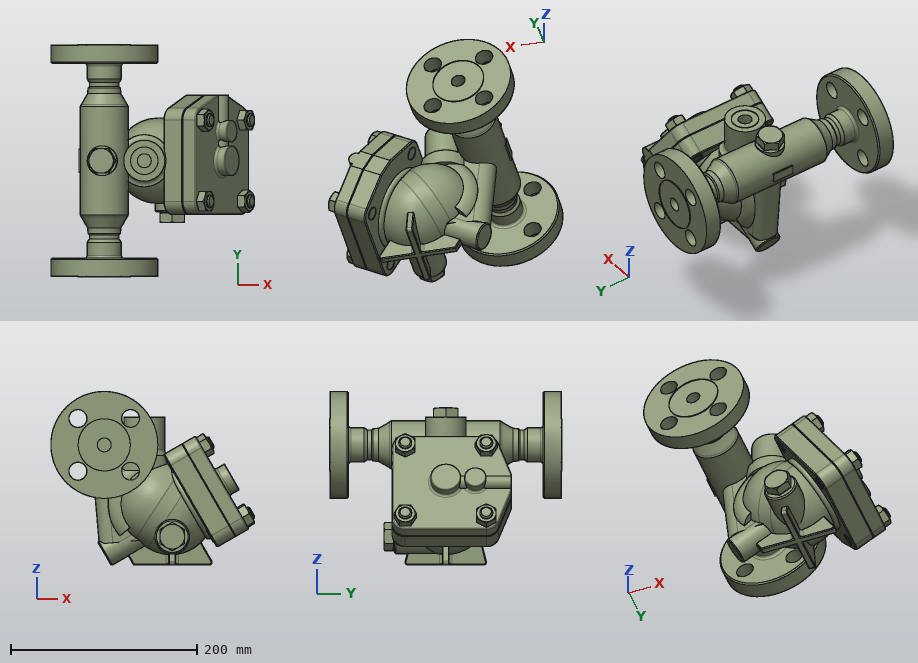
import cadquery as cq
import math

overlap = 2.5

overall_length = 250.0
flange_diameter = 115.0
flange_thickness = 19.5
flange_chamfer = 1.5
raised_face_diameter = 56.0
raised_face_height = 1.0
bolt_circle_diameter = 80.0
bolt_hole_diameter = 19.0
bolt_hole_count = 4
bore_diameter = 15.0
pipe_bore_depth = 75.0
hub_diameter = 37.0
hub_end = 87.5
hub_fillet = 3.0
neck_diameter = 32.0
neck_end = 84.0
neck_start = 79.5
shoulder_diameter = 35.0
shoulder_end = 78.0
taper_small_diameter = 36.0
taper_small_end = 72.0
taper_large_diameter = 49.5
barrel_diameter = 52.0
barrel_half_length = 58.5
barrel_edge = 1.8
label_width = 25.0
label_height = 10.5
label_rise = 1.2

leg_tilt = 5.0
leg_radius = 14.8
leg_length = 105.5
web_length = 40.0
web_fillet = 16.2
web_fillet_start = 60.0
web_fillet_sweep = 100.0
plug_collar_diameter = 32.0
plug_collar_top = 27.2
plug_top = 39.0

cover_tilt = 30.0
cover_axis_offset = 98.2
dome_radius = 46.0
dome_center = 26.0
lobe_length = 16.2
lobe_tilt = 33.0
dome_fillet = 3.8
body_flange_back = 49.8
joint_position = 73.0
cover_face = 89.5
gasket_thickness = 1.0
gasket_inset = 0.8
plate_edge = 1.2
stud_spacing = 87.0
plate_corner_radius = 14.0
plate_side_reach = 70.5
plate_side_flat = 21.0

stud_diameter = 14.0
stud_end = 101.5
stud_back_rise = 0.8
stud_chamfer = 1.5
nut_width = 21.0
nut_height = 9.0

large_boss_diameter = 32.0
small_boss_diameter = 23.0
small_boss_y = 31.8
cover_boss_end = 101.5
cover_boss_fillet = 2.5
cover_boss_edge = 0.8
cover_rib_radius = 7.5
cover_rib_axis = 88.8

stub_diameter = 30.0
stub_drop = 3.0
stub_end = -58.2
stub_chamfer = 1.2

outlet_x = 43.0
outlet_diameter = 44.0
outlet_top = 29.8
outlet_base_top = -11.2
outlet_flare = 6.0
outlet_base_bottom = -27.5
outlet_recess_diameter = 29.5
outlet_recess_depth = 0.8
outlet_bore_depth = 30.0

drain_x = 73.0
drain_z = -98.5
drain_diameter = 37.0
drain_end = 55.0
drain_chamfer = 1.5
drain_plug_end = 66.5

plug_width = 26.5
plug_neck_diameter = 24.0
plug_neck_height = 1.2

foot_bottom = -129.0
foot_rib_thickness = 7.5
foot_left_x = 31.5
foot_right_x = 118.0
foot_rib_height = 26.0
foot_cross_half_width = 44.5
foot_cross_height = 39.0
foot_cross_taper = 9.5
foot_corner_radius = 3.0
foot_fillet = 3.0
foot_edge = 1.0

lean = math.radians(leg_tilt)
slope = math.radians(cover_tilt)
up_the_cover = cq.Vector(-math.sin(slope), 0, math.cos(slope))
cover_axis = cq.Vector(math.cos(slope), 0, math.sin(slope))
body_origin = up_the_cover * -cover_axis_offset
body_plane = cq.Plane(origin=body_origin.toTuple(), xDir=(0, 1, 0), normal=cover_axis.toTuple())
lobe_lean = math.radians(lobe_tilt)
lobe_plane = cq.Plane(
    origin=(body_origin + cover_axis * dome_center).toTuple(),
    xDir=(0, 1, 0),
    normal=(-math.cos(lobe_lean), 0, math.sin(lobe_lean)),
)
leg_x = (math.cos(lean), 0, math.sin(lean))
leg_down = (math.sin(lean), 0, -math.cos(lean))
leg_up = (-math.sin(lean), 0, math.cos(lean))
leg_plane = cq.Plane(origin=(0, 0, 0), xDir=leg_x, normal=leg_down)
plug_plane = cq.Plane(origin=(0, 0, 0), xDir=leg_x, normal=leg_up)
drain_plane = cq.Plane(origin=(drain_x, 0, drain_z), xDir=(0, 0, 1), normal=(0, -1, 0))


def rod(diameter, start, end):
    """Cylinder along local z from start to end."""
    return cq.Workplane("XY").workplane(offset=start).circle(diameter / 2).extrude(end - start)


def hexagon(width, start, end):
    """Hexagon along local z, a corner on local x, its outer corners bevelled."""
    corner_diameter = width / math.cos(math.pi / 6)
    prism = cq.Workplane("XY").workplane(offset=start).polygon(6, corner_diameter).extrude(end - start)
    bevel = (corner_diameter - width) / 2
    return prism.intersect(rod(corner_diameter, start, end).faces(">Z").chamfer(bevel / 2, bevel))


def flared_boss(diameter, bottom, base_top, top, flare):
    """Boss along local z with a concave rounding down to a wider base."""
    radius = diameter / 2
    return (
        cq.Workplane("XZ")
        .moveTo(0, bottom)
        .lineTo(radius + flare, bottom)
        .lineTo(radius + flare, base_top)
        .radiusArc((radius, base_top + flare), flare)
        .lineTo(radius, top)
        .lineTo(0, top)
        .close()
        .revolve(360, (0, 0, 0), (0, 1, 0))
    )


def placed(shape, plane):
    """Move a shape from local coordinates onto a plane."""
    return cq.Workplane(obj=shape.val().moved(cq.Location(plane)))


def hex_plug(boss_end, plug_end):
    neck_top = boss_end + plug_neck_height
    neck = rod(plug_neck_diameter, boss_end - overlap, neck_top)
    return neck.union(hexagon(plug_width, neck_top, plug_end))


def main_pipe():
    face = overall_length / 2 - raised_face_height
    back = face - flange_thickness
    half = (
        cq.Workplane("XY")
        .moveTo(0, 0)
        .lineTo(barrel_diameter / 2, 0)
        .lineTo(barrel_diameter / 2, barrel_half_length)
        .lineTo(taper_large_diameter / 2, barrel_half_length + barrel_edge)
        .lineTo(taper_small_diameter / 2, taper_small_end)
        .lineTo(shoulder_diameter / 2, shoulder_end)
        .lineTo(neck_diameter / 2, neck_start)
        .lineTo(neck_diameter / 2, neck_end)
        .lineTo(hub_diameter / 2, hub_end)
        .lineTo(hub_diameter / 2, back - hub_fillet)
        .radiusArc((hub_diameter / 2 + hub_fillet, back), hub_fillet)
        .lineTo(flange_diameter / 2 - flange_chamfer, back)
        .lineTo(flange_diameter / 2, back + flange_chamfer)
        .lineTo(flange_diameter / 2, face)
        .lineTo(raised_face_diameter / 2, face)
        .lineTo(raised_face_diameter / 2, overall_length / 2)
        .lineTo(0, overall_length / 2)
        .close()
        .revolve(360, (0, 0, 0), (0, 1, 0))
    )
    pipe = half.union(half.mirror("XZ"))
    label_reach = barrel_diameter / 2 + label_rise
    label = cq.Workplane("XY").box(label_reach, label_width, label_height, centered=(False, True, True))
    return pipe.union(label.translate((-label_reach, 0, 0)))


def flange_holes():
    """Bolt holes through both flanges and a blind bore from each pipe end."""
    flange_zone = overall_length / 2 - hub_end
    bolt_holes = (
        cq.Workplane("XZ", origin=(0, -hub_end, 0))
        .polarArray(bolt_circle_diameter / 2, 360 / bolt_hole_count / 2, 360, bolt_hole_count)
        .circle(bolt_hole_diameter / 2)
        .extrude(flange_zone)
    )
    bore_start = overall_length / 2 - pipe_bore_depth
    bore = cq.Workplane("XZ", origin=(0, -bore_start, 0)).circle(bore_diameter / 2).extrude(pipe_bore_depth)
    near_end = bolt_holes.union(bore)
    return near_end.union(near_end.mirror("XZ"))


def leg_and_web():
    """Round-fronted leg whose flat sides run back into the dome."""
    return (
        cq.Workplane(leg_plane)
        .moveTo(0, leg_radius)
        .threePointArc((-leg_radius, 0), (0, -leg_radius))
        .lineTo(web_length, -leg_radius)
        .lineTo(web_length, leg_radius)
        .close()
        .extrude(leg_length)
    )


def plate_outline(start, thickness, inset=0.0):
    """Cover outline: rounded square drawn out to a blunt nose on the +Y side."""
    half = stud_spacing / 2
    radius = plate_corner_radius - inset
    nose_y = plate_side_reach - inset
    nose_half = plate_side_flat / 2
    sketch = cq.Sketch()
    for y in (-half, half):
        for v in (-half, half):
            sketch = sketch.arc((y, v), radius, 0, 360)
    sketch = sketch.segment((nose_y, -nose_half), (nose_y, nose_half)).hull()
    return cq.Workplane("XY").workplane(offset=start).placeSketch(sketch).extrude(thickness)


def dome():
    """Round-ended capsule of the body, leaning from the cover toward the main pipe."""
    capsule = (
        cq.Workplane("XZ")
        .moveTo(0, -dome_radius)
        .threePointArc((dome_radius * math.sqrt(0.5), -dome_radius * math.sqrt(0.5)), (dome_radius, 0))
        .lineTo(dome_radius, lobe_length)
        .threePointArc(
            (dome_radius * math.sqrt(0.5), lobe_length + dome_radius * math.sqrt(0.5)),
            (0, lobe_length + dome_radius),
        )
        .close()
        .revolve(360, (0, 0, 0), (0, 1, 0))
    )
    return placed(capsule, lobe_plane)


def dome_fillet_ring(height, radius, side, sweep):
    """Concave ring about local z between the dome and a flat at this height.

    The rounding lies above the flat for side = 1 and below it for side = -1.
    """
    arc_height = height + side * radius
    reach = math.sqrt((dome_radius + radius) ** 2 - arc_height ** 2)
    on_dome = dome_radius / (dome_radius + radius)
    dome_end = (reach * on_dome, arc_height * on_dome)
    root = (dome_end[0] - overlap, height - side * overlap)
    return (
        cq.Workplane("XZ")
        .moveTo(reach, height)
        .radiusArc(dome_end, -side * radius)
        .lineTo(*root)
        .close()
        .revolve(sweep, (0, 0, 0), (0, 1, 0))
    )


def body():
    joint_back = joint_position - gasket_thickness / 2
    flange = plate_outline(body_flange_back, joint_back - body_flange_back)
    flange = flange.faces("<Z").edges().chamfer(plate_edge)
    ring = dome_fillet_ring(body_flange_back - dome_center, dome_fillet, -1, 360)
    flange = flange.union(ring.translate((0, 0, dome_center)))
    beyond = rod(3 * dome_radius, joint_back - overlap, 2 * joint_back)
    return dome().cut(placed(beyond, body_plane)).union(placed(flange, body_plane))


def web_fillets():
    """Wide rounding between the flat sides of the web and the end of the dome."""
    ring = dome_fillet_ring(leg_radius, web_fillet, 1, web_fillet_sweep)
    lobe_center = lobe_plane.toWorldCoords((0, 0, lobe_length))
    upper_end = math.radians(web_fillet_start)
    start = (-math.cos(upper_end), 0, math.sin(upper_end))
    near_side = placed(ring, cq.Plane(origin=lobe_center.toTuple(), xDir=start, normal=(0, -1, 0)))
    return near_side.union(near_side.mirror("XZ"))


def cover():
    joint_back = joint_position - gasket_thickness / 2
    joint_front = joint_position + gasket_thickness / 2
    gasket = plate_outline(joint_back, gasket_thickness, gasket_inset)
    plate = plate_outline(joint_front, cover_face - joint_front).faces(">Z").edges().fillet(plate_edge)
    rib = (
        cq.Workplane("YZ")
        .center(0, cover_rib_axis)
        .circle(cover_rib_radius)
        .extrude(plate_side_reach)
    )
    shape = gasket.union(plate).union(rib)
    for y, diameter in ((0, large_boss_diameter), (small_boss_y, small_boss_diameter)):
        boss = flared_boss(diameter, joint_front, cover_face, cover_boss_end, cover_boss_fillet)
        boss = boss.faces(">Z").fillet(cover_boss_edge)
        shape = shape.union(boss.translate((y, 0, 0)))
    return shape


def studs_and_nuts():
    """A stud and nut in each corner, neighbouring nuts a quarter turn apart."""
    stud = rod(stud_diameter, body_flange_back - stud_back_rise, stud_end)
    stud = stud.faces(">Z").chamfer(stud_chamfer)
    fastener = stud.union(hexagon(nut_width, cover_face, cover_face + nut_height))
    half = stud_spacing / 2
    group = cq.Workplane("XY")
    for y in (-half, half):
        for v in (-half, half):
            turn = 0 if y * v > 0 else 90
            group = group.union(fastener.rotate((0, 0, 0), (0, 0, 1), turn).translate((y, v, 0)))
    return group


def outlet():
    boss = flared_boss(outlet_diameter, outlet_base_bottom, outlet_base_top, outlet_top, outlet_flare)
    return boss.translate((outlet_x, 0, 0))


def outlet_bore():
    recess = rod(outlet_recess_diameter, outlet_top - outlet_recess_depth, outlet_top + overlap)
    bore = rod(bore_diameter, outlet_top - outlet_bore_depth, outlet_top + overlap)
    return recess.union(bore).translate((outlet_x, 0, 0))


def foot():
    run = foot_rib_height * math.tan(slope)
    top = foot_bottom + foot_rib_height
    rib = (
        cq.Workplane("XZ")
        .polyline([
            (foot_left_x, foot_bottom),
            (foot_right_x, foot_bottom),
            (foot_right_x - run, top),
            (foot_left_x - run, top),
        ])
        .close()
        .extrude(foot_rib_thickness / 2, both=True)
        .edges("|Y and >X")
        .fillet(foot_corner_radius)
        .faces(">Y or <Y")
        .edges()
        .chamfer(foot_edge)
    )
    cross_top = foot_bottom + foot_cross_height
    narrow = foot_cross_half_width - foot_cross_taper
    cross = (
        cq.Workplane("YZ")
        .polyline([
            (-foot_cross_half_width, foot_bottom),
            (foot_cross_half_width, foot_bottom),
            (narrow, cross_top),
            (-narrow, cross_top),
        ])
        .close()
        .extrude(foot_rib_thickness / 2, both=True)
        .edges("|X and <Z")
        .fillet(foot_corner_radius)
        .faces(">X or <X")
        .edges()
        .chamfer(foot_edge)
        .translate((drain_x, 0, 0))
    )
    return rib.union(cross).edges("|Z").fillet(foot_fillet)


def lower_stub():
    stub = rod(stub_diameter, stub_end, dome_center).faces("<Z").chamfer(stub_chamfer)
    return stub.translate((0, -stub_drop, 0))


def drain():
    boss = rod(drain_diameter, 0, drain_end).faces(">Z").chamfer(drain_chamfer)
    return boss.union(hex_plug(drain_end, drain_plug_end))


def top_plug():
    collar = rod(plug_collar_diameter, 0, plug_collar_top)
    return collar.union(hex_plug(plug_collar_top, plug_top))


result = body()
result = result.union(leg_and_web())
result = result.union(web_fillets())
result = result.union(placed(cover(), body_plane))
result = result.union(placed(studs_and_nuts(), body_plane))
result = result.union(placed(lower_stub(), body_plane))
result = result.union(placed(drain(), drain_plane))
result = result.union(foot())
result = result.union(outlet())
result = result.union(main_pipe())
result = result.union(placed(top_plug(), plug_plane))
result = result.cut(flange_holes()).cut(outlet_bore())